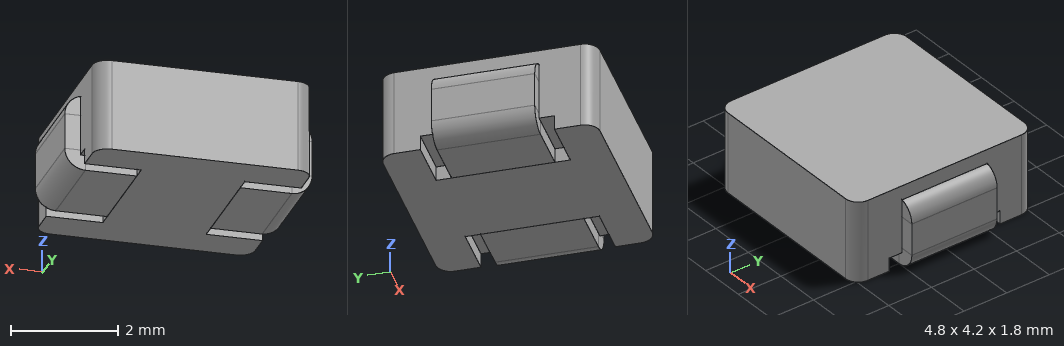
import cadquery as cq

overall_length = 4.8
housing_side = 4.2
housing_height = 1.8
corner_radius = 0.3
strip_width = 2.0
strip_thickness = 0.4
strip_top = 1.5
foot_length = 1.0
pocket_margin = 0.3
pocket_depth = 0.3

bend_x = overall_length / 2 - strip_thickness
upper_bend_z = strip_top - strip_thickness
lower_bend_z = strip_thickness
foot_end_x = bend_x - foot_length
pocket_width = strip_width + 2 * pocket_margin


def box_between(x_min, x_max, width, z_min, z_max):
    """Box centred on Y, given by its limits in X and Z."""
    box = cq.Workplane("XY").box(x_max - x_min, width, z_max - z_min)
    return box.translate(((x_min + x_max) / 2, 0, (z_min + z_max) / 2))


def make_bend(side, centre_z, up):
    """Quarter-round bend with a sharp inner corner; side and up are +1 or -1."""
    diagonal = strip_thickness / 2 ** 0.5
    centre_x = side * bend_x
    return (
        cq.Workplane("XZ", origin=(0, strip_width / 2, 0))
        .moveTo(centre_x, centre_z)
        .lineTo(centre_x + side * strip_thickness, centre_z)
        .threePointArc(
            (centre_x + side * diagonal, centre_z + up * diagonal),
            (centre_x, centre_z + up * strip_thickness),
        )
        .close()
        .extrude(strip_width)
    )


def make_lead_strip():
    """One strip through the housing, bent down at both ends and under it to form feet."""
    strip = box_between(-bend_x, bend_x, strip_width, upper_bend_z, strip_top)
    for side in (-1, 1):
        leg_x = sorted((side * bend_x, side * overall_length / 2))
        foot_x = sorted((side * foot_end_x, side * bend_x))
        strip = (
            strip.union(make_bend(side, upper_bend_z, 1), clean=False)
            .union(box_between(*leg_x, strip_width, lower_bend_z, upper_bend_z), clean=False)
            .union(make_bend(side, lower_bend_z, -1), clean=False)
            .union(box_between(*foot_x, strip_width, 0, strip_thickness), clean=False)
        )
    return strip


def make_housing(strip):
    """Rounded block with a foot pocket at each end and a matching path for the strip."""
    block = (
        cq.Workplane("XY")
        .rect(housing_side, housing_side)
        .extrude(housing_height)
        .edges("|Z")
        .fillet(corner_radius)
    )
    for side in (-1, 1):
        pocket_x = sorted((side * foot_end_x, side * housing_side / 2))
        block = block.cut(box_between(*pocket_x, pocket_width, 0, pocket_depth))
    return block.cut(strip)


lead_strip = make_lead_strip()
housing = make_housing(lead_strip)

result = cq.Compound.makeCompound([housing.solids().val(), lead_strip.solids().val()])